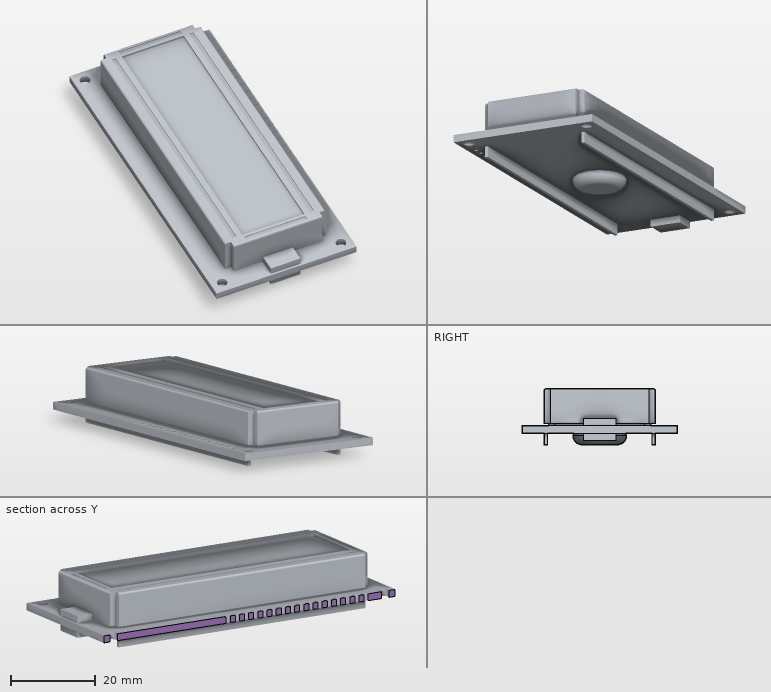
import math

import cadquery as cq

BOARD_LENGTH = 80.5
BOARD_WIDTH = 36.5
BOARD_THICKNESS = 1.8

HOLE_DIAMETER = 2.5
HOLE_SPACING_X = 75.0
HOLE_SPACING_Y = 31.0

PAD_COUNT = 16
PAD_PITCH = 2.54
PAD_WIDTH = 1.8
PAD_DEPTH = 0.1
PAD_HOLE_DIAMETER = 1.0
FIRST_PAD_INSET = 8.0
PAD_EDGE_DISTANCE = 2.0

FRAME_LENGTH = 71.2
FRAME_WIDTH = 26.2
FRAME_HEIGHT = 8.2
FRAME_NOTCH = 1.55
FRAME_BEND_RADIUS = 0.5

SPACER_HEIGHT = 0.5
SPACER_INSET = 1.05

WINDOW_LENGTH = 66.0
WINDOW_WIDTH = 16.15
WINDOW_DEPTH = 0.5
SLOT_WIDTH = 1.0
SLOT_DEPTH = 0.25
LONG_SLOT_OFFSET = 10.1
SHORT_SLOT_LENGTH = 16.0
SHORT_SLOT_OFFSET = 34.3
SHORT_SLOT_CORNER_RADIUS = 0.25

TAB_THICKNESS = 0.8
TAB_DROP = 2.71

BACKLIGHT_WIDTH = 7.7
BACKLIGHT_EDGE_DISTANCE = 0.5
BACKLIGHT_RISE = 1.75
BACKLIGHT_DROP = 1.7

CAP_DIAMETER = 12.7
CAP_TOP_DIAMETER = 12.2
CAP_FLAT_DIAMETER = 8.0
CAP_RIM_DEPTH = 0.5

FRAME_BOTTOM = BOARD_THICKNESS + SPACER_HEIGHT
FRAME_TOP = FRAME_BOTTOM + FRAME_HEIGHT


def block(length, width, bottom, top, x=0.0, y=0.0):
    """Rectangular block centred on (x, y) between two heights."""
    base = cq.Workplane("XY", origin=(x, y, bottom))
    return base.rect(length, width).extrude(top - bottom)


def make_board():
    board = block(BOARD_LENGTH, BOARD_WIDTH, 0.0, BOARD_THICKNESS)
    board_top = board.faces(">Z").workplane()
    return board_top.rect(HOLE_SPACING_X, HOLE_SPACING_Y, forConstruction=True).vertices().hole(HOLE_DIAMETER)


def cut_pads(body):
    pad_y = BOARD_WIDTH / 2 - PAD_EDGE_DISTANCE
    first_x = -BOARD_LENGTH / 2 + FIRST_PAD_INSET
    pad_floor = BOARD_THICKNESS - PAD_DEPTH
    centres = [(first_x + i * PAD_PITCH, pad_y) for i in range(PAD_COUNT)]
    strip_centres = [(x, pad_y + PAD_EDGE_DISTANCE / 2) for x, y in centres]
    pad_plane = cq.Workplane("XY", origin=(0, 0, pad_floor))
    strips = pad_plane.pushPoints(strip_centres).rect(PAD_WIDTH, PAD_EDGE_DISTANCE).extrude(PAD_DEPTH)
    round_ends = pad_plane.pushPoints(centres).circle(PAD_WIDTH / 2).extrude(PAD_DEPTH)
    holes = cq.Workplane("XY").pushPoints(centres).circle(PAD_HOLE_DIAMETER / 2).extrude(BOARD_THICKNESS)
    return body.cut(strips).cut(round_ends).cut(holes)


def make_notched_block(inset, bottom, top, bend_radius=0.0):
    """Frame outline moved inwards by inset: two crossed blocks that leave the corners notched."""
    length = FRAME_LENGTH - 2 * inset
    width = FRAME_WIDTH - 2 * inset
    along_x = block(length, width - 2 * FRAME_NOTCH, bottom, top)
    along_y = block(length - 2 * FRAME_NOTCH, width, bottom, top)
    if bend_radius > 0:
        along_x = along_x.faces(">Z").edges("|Y").fillet(bend_radius)
        along_y = along_y.faces(">Z").edges("|X").fillet(bend_radius)
    return along_x.union(along_y)


def make_frame():
    frame = make_notched_block(0.0, FRAME_BOTTOM, FRAME_TOP, FRAME_BEND_RADIUS)
    frame = frame.cut(block(WINDOW_LENGTH, WINDOW_WIDTH, FRAME_TOP - WINDOW_DEPTH, FRAME_TOP))
    slot_floor = FRAME_TOP - SLOT_DEPTH
    for side in (-1, 1):
        long_slot = block(WINDOW_LENGTH, SLOT_WIDTH, slot_floor, FRAME_TOP, y=side * LONG_SLOT_OFFSET)
        short_slot = block(SLOT_WIDTH, SHORT_SLOT_LENGTH, slot_floor, FRAME_TOP, x=side * SHORT_SLOT_OFFSET)
        short_slot = short_slot.edges("|Z").fillet(SHORT_SLOT_CORNER_RADIUS)
        frame = frame.cut(long_slot).cut(short_slot)
    return frame


def make_spacer():
    return make_notched_block(SPACER_INSET, BOARD_THICKNESS, FRAME_BOTTOM)


def make_tabs():
    tab_length = FRAME_LENGTH - 2 * FRAME_NOTCH
    tab_y = (FRAME_WIDTH - TAB_THICKNESS) / 2
    front_tab = block(tab_length, TAB_THICKNESS, -TAB_DROP, 0.0, y=-tab_y)
    return front_tab.union(front_tab.mirror("XZ"))


def make_backlight():
    inner_x = FRAME_LENGTH / 2 - SPACER_INSET
    outer_x = BOARD_LENGTH / 2 - BACKLIGHT_EDGE_DISTANCE
    top = BOARD_THICKNESS + BACKLIGHT_RISE
    return block(outer_x - inner_x, BACKLIGHT_WIDTH, -BACKLIGHT_DROP, top, x=(inner_x + outer_x) / 2)


def make_cap():
    """Revolved cap that widens to its rim, then rounds in to a flat level with the tab ends."""
    rim_radius = CAP_DIAMETER / 2
    flat_radius = CAP_FLAT_DIAMETER / 2
    bulge = math.sin(math.radians(45))
    arc_middle = (
        flat_radius + (rim_radius - flat_radius) * bulge,
        -CAP_RIM_DEPTH - (TAB_DROP - CAP_RIM_DEPTH) * bulge,
    )
    profile = (
        cq.Workplane("XZ")
        .lineTo(CAP_TOP_DIAMETER / 2, 0)
        .lineTo(rim_radius, -CAP_RIM_DEPTH)
        .threePointArc(arc_middle, (flat_radius, -TAB_DROP))
        .lineTo(0, -TAB_DROP)
        .close()
    )
    return profile.revolve(360, (0, 0, 0), (0, 1, 0))


body = cut_pads(make_board())
for piece in (make_spacer(), make_frame(), make_tabs(), make_backlight(), make_cap()):
    body = body.union(piece)
result = body